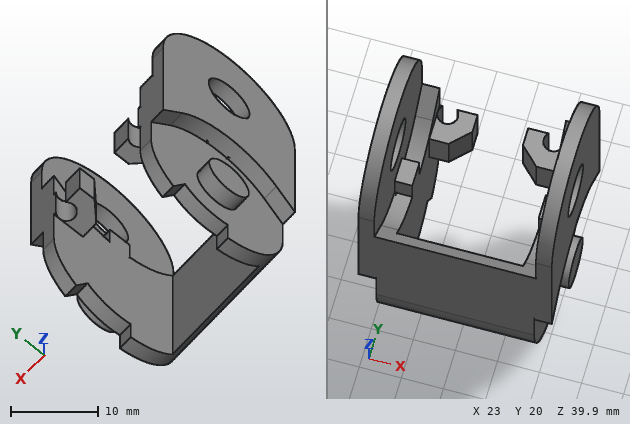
import cadquery as cq
import math

pitch = 20.0
end_radius = 10.0
overall_width = 23.0

channel_half_width = 7.5
tongue_half_width = 9.4
fork_half_gap = 9.6
base_thickness = 2.0
joint_radius = end_radius + 0.1

pin_radius = 3.0
hole_radius = 3.1

stop_half_width = 1.5
stop_top = pitch - 6.9
notch_radius = 6.8
notch_clearance = 0.15
swing_angle = 32.0

tab_tip_x = 3.0
tab_depth = 4.4
tab_chamfer = 2.2
tab_top = 11.0
tab_height = 5.0
socket_radius = 1.2
socket_x = 6.3
socket_y = 9.15

half_width = overall_width / 2
cut_margin = 1.0
base_inner_y = base_thickness - end_radius


def extrude_along_x(profile_at, x_start, x_end):
    """Extrude a YZ profile between two X positions."""
    plane = cq.Workplane("YZ", origin=(x_start, 0, 0))
    return profile_at(plane).extrude(x_end - x_start)


def both_sides(solid):
    """Combine a solid with its mirror image across the YZ plane."""
    return solid.union(solid.mirror("YZ"))


def link_outline(plane):
    """Rounded-end outline of the whole link."""
    return (
        plane.moveTo(-end_radius, 0)
        .threePointArc((0, -end_radius), (end_radius, 0))
        .lineTo(end_radius, pitch)
        .threePointArc((0, pitch + end_radius), (-end_radius, pitch))
        .close()
    )


def joint_outline(plane, centre_z, side):
    """Joint arc with 45 degree tangents, open upward (side=1) or downward (side=-1)."""
    tangent_point = joint_radius / math.sqrt(2)
    reach = end_radius + cut_margin
    tangent_end = centre_z - side * (joint_radius * math.sqrt(2) - reach)
    open_end = centre_z + side * reach
    return (
        plane.moveTo(-reach, open_end)
        .lineTo(-reach, tangent_end)
        .lineTo(-tangent_point, centre_z - side * tangent_point)
        .threePointArc((0, centre_z - side * joint_radius), (tangent_point, centre_z - side * tangent_point))
        .lineTo(reach, tangent_end)
        .lineTo(reach, open_end)
        .close()
    )


def make_stops():
    """Stop blocks left standing in the fork gap, one on each wall."""
    root_z = pitch - joint_radius - cut_margin
    stop = cq.Workplane("XY").box(
        fork_half_gap - channel_half_width, 2 * stop_half_width, stop_top - root_z,
        centered=(False, True, False),
    ).translate((channel_half_width, 0, root_z))
    return both_sides(stop)


def make_body():
    """U-shaped link with a fork at the top and a narrower tongue at the bottom."""
    body = extrude_along_x(link_outline, -half_width, half_width)
    channel_depth = end_radius + cut_margin - base_inner_y
    channel_length = pitch + 2 * end_radius + 2 * cut_margin
    channel = cq.Workplane("XY").box(
        2 * channel_half_width, channel_depth, channel_length, centered=(True, False, True)
    ).translate((0, base_inner_y, pitch / 2))
    fork_gap = extrude_along_x(
        lambda plane: joint_outline(plane, pitch, 1), -fork_half_gap, fork_half_gap
    )
    tongue_relief = extrude_along_x(
        lambda plane: joint_outline(plane, 0, -1), tongue_half_width, half_width + cut_margin
    )
    return body.cut(channel).cut(fork_gap.cut(make_stops())).cut(both_sides(tongue_relief))


def make_notch():
    """Gap in the tongue end that gives the stop its swing; both flanks clear the stop equally."""
    flank_offset = stop_half_width + notch_clearance
    swing = math.radians(swing_angle)

    def swung_flank(radius):
        along = math.sqrt(radius**2 - flank_offset**2)
        return (
            along * math.sin(swing) + flank_offset * math.cos(swing),
            -along * math.cos(swing) + flank_offset * math.sin(swing),
        )

    def straight_flank(radius):
        return (-flank_offset, -math.sqrt(radius**2 - flank_offset**2))

    def middle(radius):
        return (radius * math.sin(swing / 2), -radius * math.cos(swing / 2))

    def outline(plane):
        outer_radius = end_radius + cut_margin
        return (
            plane.moveTo(*straight_flank(notch_radius))
            .threePointArc(middle(notch_radius), swung_flank(notch_radius))
            .lineTo(*swung_flank(outer_radius))
            .threePointArc(middle(outer_radius), straight_flank(outer_radius))
            .close()
        )

    return extrude_along_x(outline, -half_width, half_width)


def make_tabs():
    """Chamfered clip tabs, each with a snap-in socket open to the back."""
    tab_inner_y = end_radius - tab_depth
    outline = [
        (channel_half_width, end_radius),
        (tab_tip_x, end_radius),
        (tab_tip_x, tab_inner_y + tab_chamfer),
        (tab_tip_x + tab_chamfer, tab_inner_y),
        (channel_half_width, tab_inner_y),
    ]
    tab_plane = cq.Workplane("XY", origin=(0, 0, tab_top - tab_height))
    tab = tab_plane.polyline(outline).close().extrude(tab_height)
    socket = tab_plane.center(socket_x, socket_y).circle(socket_radius).extrude(tab_height)
    return both_sides(tab.cut(socket))


def make_pins():
    """Pins on the outer faces of the tongue."""
    pin = extrude_along_x(lambda plane: plane.circle(pin_radius), channel_half_width, half_width)
    return both_sides(pin)


def make_pin_holes():
    """Holes through both cheeks for the next link's pins."""
    return extrude_along_x(
        lambda plane: plane.center(0, pitch).circle(hole_radius), -half_width, half_width
    )


result = (
    make_body()
    .cut(make_notch())
    .union(make_tabs())
    .union(make_pins())
    .cut(make_pin_holes())
)